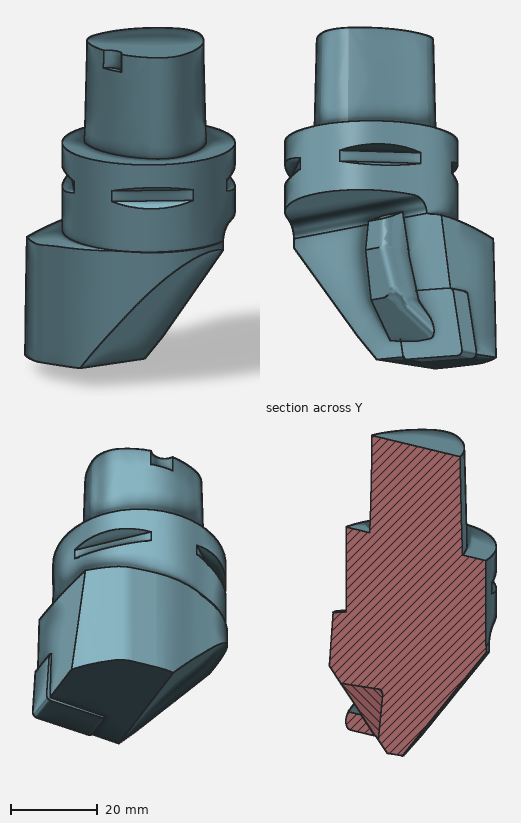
import cadquery as cq
import math

SHANK_HEIGHT = 24.0
LOBE_RADIUS = 8.2
LOBE_ANGLES = (90, 210, 330)
LOBE_OFFSET = 6.8
ARC_HALF_ANGLE = 30
SHANK_TAPER = math.degrees(math.atan(1 / 40))
NOTCH_DIAMETER = 6.3
NOTCH_CENTER_Y = -14.0
NOTCH_DEPTH = 4.2

FLANGE_RADIUS = 20.0
FLANGE_HEIGHT = 20.85
GROOVE_Z = -8.0
GROOVE_FLOOR_DISTANCE = 17.6
GROOVE_FLOOR_WIDTH = 2.5
GROOVE_MOUTH_WIDTH = 5.05
GROOVE_COUNT = 4
GROOVE_START_ANGLE = 45

HEAD_RADIUS = 20.3
HEAD_TOP_SLOPE = math.radians(14.5)
HEAD_REACH = 35.55
HEAD_DEPTH = 56.9
HEAD_WALL = [
    (-31.6, -6.3),
    (-23.6, -16.35), (-16.35, -21.4),
    (-14.3, -22.2), (-12.2, -22.4),
    (-5.9, -22.4),
    (0.6, -21.6), (6.7, -19.1),
    (9.4, -17.8),
]
HEAD_BULGE_ANGLE = -20
BOTTOM_Z = -52.45
BOTTOM_SLOPE_X = 0.06
BOTTOM_SLOPE_Y = -0.12
SIDE_NORMAL = (-1, -0.087, 0.08)
SIDE_POINT = (-23.7, 4.1, -22.0)
CUT_TOP = (20.3, -22.05)
CUT_BOTTOM = (-3.6, -52.7)

CHIP_WALL_Y = 4.1
CHIP_ROOF_Z = -16.2
CHIP_ROOF_DROP = 1.0
CHIP_FILLET = 3.95
RAKE_NORMAL = (-0.11, 1, -0.1)

INSERT_NOSE = (-27.1, 0.2, -55.1)
INSERT_EDGE = 16.1
INSERT_ANGLE = math.radians(80)
INSERT_THICKNESS = 6.3
INSERT_NOSE_RADIUS = 1.2
INSERT_EDGE_TILT = 0.066

CLAMP_RIGHT_X = -7.9
CLAMP_FLANK = [(-13.4, -18.95), (-14.2, -29.4), (-16.2, -40.9), (-22.9, -50.55)]
CLAMP_ROUND = 2.4
CLAMP_PROFILE = [
    (5.45, -19.8), (11.1, -22.35), (12.2, -29.4), (10.1, -40.9), (2.05, -50.25), (3.8, -30.6),
]
CLAMP_CREST_BOX = ((-20.55, 5.9, -49), (-12.65, 14.2, -21.3))

BIG = 158


def half_space(point, normal):
    """Large block filling the side of a plane that its normal points to."""
    return cq.Workplane(cq.Plane(origin=point, normal=normal)).rect(BIG, BIG).extrude(BIG)


def polar(radius, degrees):
    angle = math.radians(degrees)
    return radius * math.cos(angle), radius * math.sin(angle)


def shank():
    """Constant-width outline: lobe arcs alternate with arcs about the opposite lobe centre."""
    flank_radius = LOBE_RADIUS + LOBE_OFFSET * math.sqrt(3)
    lobe_tip = LOBE_OFFSET + LOBE_RADIUS
    flank_middle = flank_radius - LOBE_OFFSET

    def arc_end(lobe_angle, side):
        center_x, center_y = polar(LOBE_OFFSET, lobe_angle)
        offset_x, offset_y = polar(LOBE_RADIUS, lobe_angle + side * ARC_HALF_ANGLE)
        return center_x + offset_x, center_y + offset_y

    outline = cq.Workplane("XY").moveTo(*arc_end(LOBE_ANGLES[0], -1))
    for lobe_angle in LOBE_ANGLES:
        outline = outline.threePointArc(polar(lobe_tip, lobe_angle), arc_end(lobe_angle, 1))
        next_start = arc_end(lobe_angle + 4 * ARC_HALF_ANGLE, -1)
        outline = outline.threePointArc(polar(flank_middle, lobe_angle + 2 * ARC_HALF_ANGLE), next_start)
    body = outline.close().extrude(SHANK_HEIGHT, taper=SHANK_TAPER)
    notch = (
        cq.Workplane("XY", origin=(0, NOTCH_CENTER_Y, SHANK_HEIGHT))
        .circle(NOTCH_DIAMETER / 2)
        .extrude(-NOTCH_DEPTH)
    )
    return body.cut(notch)


def flange():
    body = cq.Workplane("XY").circle(FLANGE_RADIUS).extrude(-FLANGE_HEIGHT)
    half_floor = GROOVE_FLOOR_WIDTH / 2
    half_mouth = GROOVE_MOUTH_WIDTH / 2
    groove = (
        cq.Workplane("XZ", origin=(0, 0, GROOVE_Z))
        .polyline([
            (GROOVE_FLOOR_DISTANCE, -half_floor),
            (FLANGE_RADIUS, -half_mouth),
            (FLANGE_RADIUS, half_mouth),
            (GROOVE_FLOOR_DISTANCE, half_floor),
        ])
        .close()
        .extrude(FLANGE_RADIUS, both=True)
    )
    for index in range(GROOVE_COUNT):
        body = body.cut(groove.rotate((0, 0, 0), (0, 0, 1), GROOVE_START_ANGLE + index * 360 / GROOVE_COUNT))
    return body


def head():
    """Vertical-walled block trimmed by a conical top and by plane faces."""
    wall_end = polar(FLANGE_RADIUS, math.degrees(math.asin(CHIP_WALL_Y / FLANGE_RADIUS)))
    block = (
        cq.Workplane("XY")
        .moveTo(-HEAD_REACH, CHIP_WALL_Y)
        .lineTo(*HEAD_WALL[0])
        .threePointArc(*HEAD_WALL[1:3])
        .threePointArc(*HEAD_WALL[3:5])
        .lineTo(*HEAD_WALL[5])
        .threePointArc(*HEAD_WALL[6:8])
        .lineTo(*HEAD_WALL[8])
        .threePointArc(polar(HEAD_RADIUS, HEAD_BULGE_ANGLE), wall_end)
        .close()
        .extrude(-HEAD_DEPTH)
    )
    rim_drop = (HEAD_REACH - FLANGE_RADIUS) * math.tan(HEAD_TOP_SLOPE)
    envelope = (
        cq.Workplane("XZ")
        .polyline([
            (0, -FLANGE_HEIGHT),
            (FLANGE_RADIUS, -FLANGE_HEIGHT),
            (HEAD_REACH, -FLANGE_HEIGHT - rim_drop),
            (HEAD_REACH, -HEAD_DEPTH),
            (0, -HEAD_DEPTH),
        ])
        .close()
        .revolve()
    )
    relief_normal = (CUT_TOP[1] - CUT_BOTTOM[1], 0, CUT_BOTTOM[0] - CUT_TOP[0])
    return (
        block.intersect(envelope)
        .cut(half_space(SIDE_POINT, SIDE_NORMAL))
        .cut(half_space((CUT_TOP[0], 0, CUT_TOP[1]), relief_normal))
        .cut(half_space((0, 0, BOTTOM_Z), (BOTTOM_SLOPE_X, BOTTOM_SLOPE_Y, -1)))
    )


def chip_space():
    space = (
        cq.Workplane("YZ")
        .polyline([
            (FLANGE_RADIUS, CHIP_ROOF_Z),
            (CHIP_WALL_Y, CHIP_ROOF_Z - CHIP_ROOF_DROP),
            (CHIP_WALL_Y, -HEAD_DEPTH),
            (FLANGE_RADIUS, -HEAD_DEPTH),
        ])
        .close()
        .extrude(HEAD_REACH, both=True)
    )
    return space.edges(cq.selectors.NearestToPointSelector((0, CHIP_WALL_Y, CHIP_ROOF_Z))).fillet(CHIP_FILLET)


def clamp():
    top_z = CLAMP_FLANK[0][1]
    tip_z = CLAMP_FLANK[-1][1]
    front_shape = (
        cq.Workplane("XZ")
        .polyline(CLAMP_FLANK + [(CLAMP_RIGHT_X, tip_z), (CLAMP_RIGHT_X, top_z)])
        .close()
        .extrude(HEAD_REACH, both=True)
    )
    side_shape = cq.Workplane("YZ").polyline(CLAMP_PROFILE).close().extrude(HEAD_REACH, both=True)
    crest = cq.selectors.BoxSelector(*CLAMP_CREST_BOX)
    return side_shape.intersect(front_shape).edges(crest).fillet(CLAMP_ROUND)


def make_insert():
    into_holder = cq.Vector(*RAKE_NORMAL) * -1
    edge_slope_y = -(RAKE_NORMAL[0] + RAKE_NORMAL[2] * INSERT_EDGE_TILT) / RAKE_NORMAL[1]
    edge_direction = (1, edge_slope_y, INSERT_EDGE_TILT)
    across = INSERT_EDGE * math.cos(INSERT_ANGLE)
    up = INSERT_EDGE * math.sin(INSERT_ANGLE)
    return (
        cq.Workplane(cq.Plane(origin=INSERT_NOSE, xDir=edge_direction, normal=into_holder))
        .polyline([(0, 0), (INSERT_EDGE, 0), (INSERT_EDGE + across, up), (across, up)])
        .close()
        .extrude(INSERT_THICKNESS)
        .edges(cq.selectors.ParallelDirSelector(into_holder))
        .fillet(INSERT_NOSE_RADIUS)
    )


def make_holder(insert):
    rake = half_space(INSERT_NOSE, RAKE_NORMAL).intersect(
        cq.Workplane("XY", origin=(0, 0, -FLANGE_HEIGHT)).rect(BIG, BIG).extrude(-BIG)
    )
    return (
        flange()
        .union(head())
        .cut(chip_space())
        .cut(rake)
        .union(shank())
        .union(clamp())
        .cut(insert)
    )


insert = make_insert()
holder = make_holder(insert)
result = cq.Compound.makeCompound([holder.val(), insert.val()])